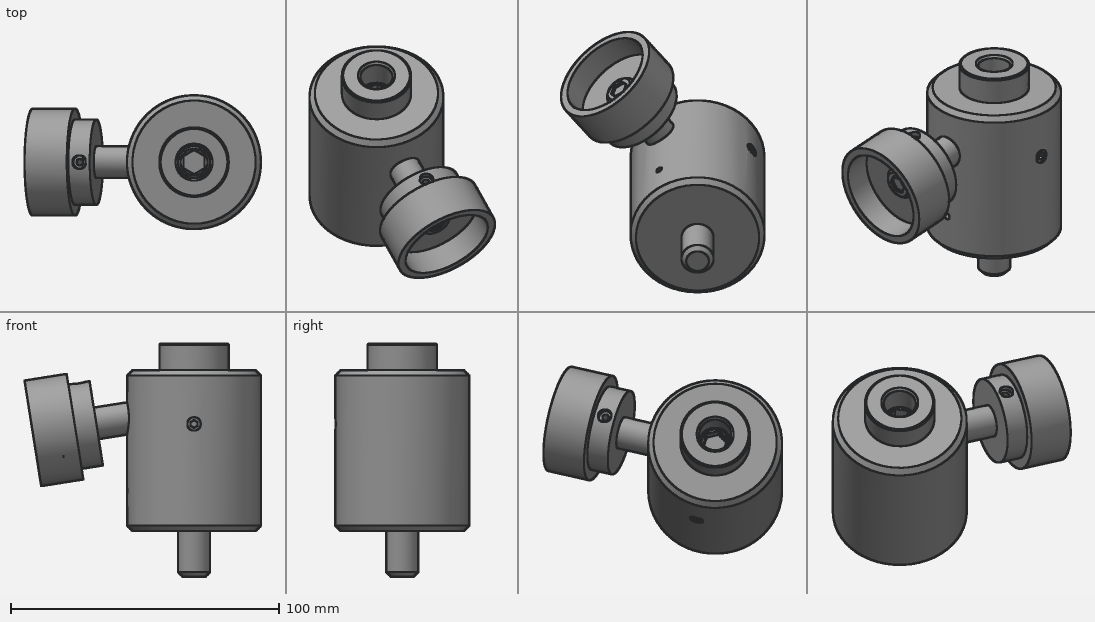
import cadquery as cq
import math

housing_diameter = 50.0
housing_height = 60.0
housing_chamfer = 2.0
collar_diameter = 25.95
collar_height = 10.0
collar_chamfer = 0.5
bore_chamfer = 0.9

rod_diameter = 12.0
rod_projection = 17.0
rod_top_chamfer = 1.0
rod_tip_chamfer = 1.8
rod_hex_flats = 7.9
hex_depth = 4.4

tilt_degrees = 9.0
stem_axis_height = 63.0
rim_distance = 60.9
cup_diameter = 40.0
cup_length = 16.0
cup_cavity_diameter = 34.0
cup_cavity_depth = 10.0
shoulder_diameter = 31.95
shoulder_length = 8.0
stem_diameter = rod_diameter
stem_insertion = 9.7
stem_hex_flats = 6.0
stem_end_chamfer = 1.0

screw_diameter = 5.0
pilot_diameter = 2.5
housing_screw_height = 57.0
housing_screw_recess = 0.4
housing_screw_hex_flats = 2.5
housing_screw_hex_depth = 1.8
cup_screw_recess = 2.1
pilot_depth = 17.65
side_hole_height = 32.1
side_hole_depth = 13.2

housing_radius = housing_diameter / 2
housing_bottom = rod_projection
housing_top = housing_bottom + housing_height
rod_top = housing_top

tilt = math.radians(tilt_degrees)
stem_direction = cq.Vector(math.cos(tilt), 0, math.sin(tilt))
cup_radial_direction = cq.Vector(-math.sin(tilt), 0, math.cos(tilt))
stem_pivot = cq.Vector(0, 0, stem_axis_height)
rim_center = stem_pivot - stem_direction * rim_distance


def cylinder(diameter, length, start, direction):
    """Cylinder from a start point along a direction."""
    return cq.Workplane(cq.Solid.makeCylinder(diameter / 2, length, start, direction))


def hex_prism(flats, length, start, direction, x_direction):
    """Hexagonal prism with one corner on x_direction."""
    plane = cq.Plane(start, x_direction, direction)
    across_corners = flats / math.cos(math.pi / 6)
    return cq.Workplane(plane).polygon(6, across_corners).extrude(length)


def along_stem(diameter, length, offset):
    """Cylinder on the tilted axis, starting at an offset from the cup rim."""
    return cylinder(diameter, length, rim_center + stem_direction * offset, stem_direction)


stem_start = cup_cavity_depth - stem_end_chamfer
stem_end = rim_distance - housing_radius / math.cos(tilt) + stem_insertion


def make_housing():
    housing = (
        cq.Workplane().workplane(offset=housing_bottom)
        .circle(housing_radius).extrude(housing_height)
        .edges("%CIRCLE").chamfer(housing_chamfer)
    )
    collar = (
        cq.Workplane().workplane(offset=housing_top)
        .circle(collar_diameter / 2).extrude(collar_height)
        .faces(">Z").chamfer(collar_chamfer)
    )
    housing = housing.union(collar)

    housing = housing.faces(">Z").workplane().hole(rod_diameter)
    mouth_edge = cq.selectors.RadiusNthSelector(0)
    housing = housing.faces(">Z").edges(mouth_edge).chamfer(bore_chamfer)

    housing = housing.cut(along_stem(stem_diameter, stem_end - stem_start, stem_start))

    inward = cq.Vector(0, 1, 0)
    screw_start = cq.Vector(0, -housing_radius, housing_screw_height)
    screw_floor = screw_start + inward * housing_screw_recess
    housing = housing.cut(cylinder(screw_diameter, housing_screw_recess, screw_start, inward))
    housing = housing.cut(hex_prism(
        housing_screw_hex_flats, housing_screw_hex_depth, screw_floor, inward, cq.Vector(0, 0, 1)))

    side_entry = cq.Vector(-housing_radius, 0, side_hole_height)
    side_start = side_entry - stem_direction * pilot_diameter
    return housing.cut(cylinder(
        pilot_diameter, side_hole_depth + pilot_diameter, side_start, stem_direction))


def make_clamp_rod():
    rod = (
        cq.Workplane().circle(rod_diameter / 2).extrude(rod_top)
        .faces(">Z").chamfer(rod_top_chamfer)
        .faces("<Z").chamfer(rod_tip_chamfer)
    )
    socket = hex_prism(
        rod_hex_flats, hex_depth, cq.Vector(0, 0, rod_top), cq.Vector(0, 0, -1), cq.Vector(0, 1, 0))
    return rod.cut(socket)


def make_stem():
    plane = cq.Plane(rim_center + stem_direction * stem_start, cq.Vector(0, 1, 0), stem_direction)
    stem = (
        cq.Workplane(plane).circle(stem_diameter / 2).extrude(stem_end - stem_start)
        .faces("<X").chamfer(stem_end_chamfer)
    )
    socket = hex_prism(stem_hex_flats, hex_depth, plane.origin, stem_direction, cq.Vector(0, 1, 0))
    return stem.cut(socket)


def make_cup():
    cup = along_stem(cup_diameter, cup_length, 0)
    cup = cup.union(along_stem(shoulder_diameter, shoulder_length, cup_length))
    cup = cup.cut(along_stem(cup_cavity_diameter, cup_cavity_depth, 0))
    cup = cup.union(make_stem())

    shoulder_middle = rim_center + stem_direction * (cup_length + shoulder_length / 2)
    screw_start = shoulder_middle + cup_radial_direction * (shoulder_diameter / 2)
    inward = cup_radial_direction * -1
    cup = cup.cut(cylinder(screw_diameter, cup_screw_recess, screw_start, inward))
    return cup.cut(cylinder(pilot_diameter, cup_screw_recess + pilot_depth, screw_start, inward))


housing = make_housing()
clamp_rod = make_clamp_rod()
cup = make_cup()

result = cq.Compound.makeCompound([housing.val(), clamp_rod.val(), cup.val()])